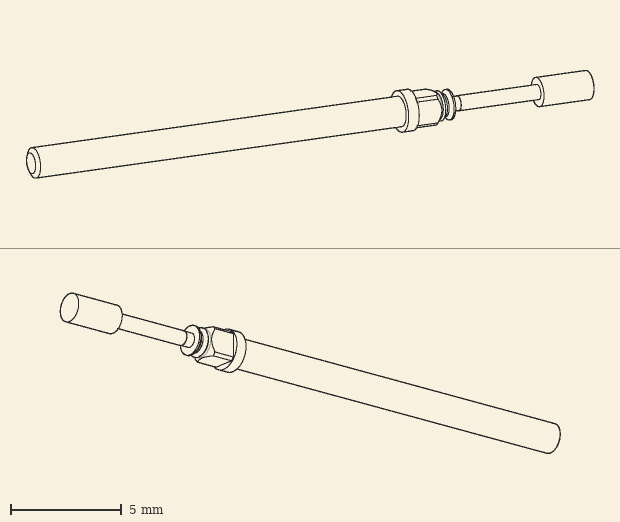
import cadquery as cq

overall_length = 27.9
tip_y = overall_length / 2
tail_y = -overall_length / 2

head_radius = 0.67
head_length = 2.5
stem_radius = 0.35
stem_length = 4.0
neck_radius = 0.33
neck_length = 0.45

lip_thickness = 0.08
groove_radius = 0.53
groove_slope_length = 0.17
groove_width = 0.08
ridge_slope_length = 0.17
notch_radius = 0.6
notch_slope_length = 0.08

barrel_radius = 0.7
square_width = 2 * barrel_radius
square_corner_radius = 0.9
square_end_radius = 0.67
square_length = 1.28
collar_radius = 0.95
collar_length = 0.53
tail_radius = 0.47
tail_chamfer_length = 0.15

head_bottom = tip_y - head_length
stem_bottom = head_bottom - stem_length
mouth_y = stem_bottom - neck_length
lip_bottom = mouth_y - lip_thickness
groove_top = lip_bottom - groove_slope_length
groove_bottom = groove_top - groove_width
ridge_y = groove_bottom - ridge_slope_length
notch_y = ridge_y - notch_slope_length
square_top = notch_y - notch_slope_length
square_bottom = square_top - square_length
collar_bottom = square_bottom - collar_length


def turned(profile):
    """Revolve (radius, y) points, listed from +Y to -Y, around the Y axis."""
    points = [(0, profile[0][1])] + profile + [(0, profile[-1][1])]
    return cq.Workplane("XY").polyline(points).close().revolve(360, (0, 0), (0, 1))


def make_plunger():
    return turned([
        (head_radius, tip_y),
        (head_radius, head_bottom),
        (stem_radius, head_bottom),
        (stem_radius, stem_bottom),
        (neck_radius, stem_bottom),
        (neck_radius, mouth_y),
    ])


def make_crimped_mouth():
    return turned([
        (barrel_radius, mouth_y),
        (barrel_radius, lip_bottom),
        (groove_radius, groove_top),
        (groove_radius, groove_bottom),
        (barrel_radius, ridge_y),
        (notch_radius, notch_y),
        (square_end_radius, square_top),
    ])


def make_square_section():
    """Square bar whose corners are turned round and bevelled at 45 degrees."""
    bevel = square_corner_radius - square_end_radius
    blank = turned([
        (square_end_radius, square_top),
        (square_corner_radius, square_top - bevel),
        (square_corner_radius, square_bottom),
    ])
    middle_y = (square_top + square_bottom) / 2
    bar = cq.Workplane("XY").box(square_width, square_length, square_width)
    return blank.intersect(bar.translate((0, middle_y, 0)))


def make_barrel():
    return turned([
        (collar_radius, square_bottom),
        (collar_radius, collar_bottom),
        (barrel_radius, collar_bottom),
        (barrel_radius, tail_y + tail_chamfer_length),
        (tail_radius, tail_y),
    ])


result = (
    make_plunger()
    .union(make_crimped_mouth())
    .union(make_square_section())
    .union(make_barrel())
)